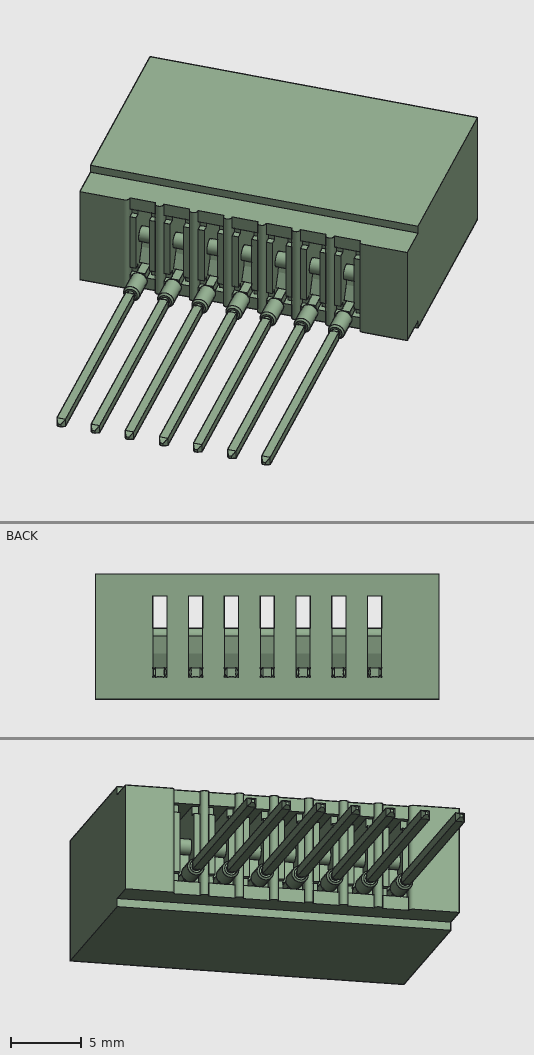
import cadquery as cq


housing_width = 24.4
housing_depth = 16.38
housing_height = 8.9
step_depth = 2.48
step_inset = 0.6

contact_count = 7
row_length = 15.25
pitch = row_length / (contact_count - 1)
contact_places = [i * pitch - row_length / 2 for i in range(contact_count)]

recess_width = 1.9
recess_depth = 0.35
rib_fillet = 0.3
slot_width = 1.0
slot_half_height = 2.87
pocket_depth = 0.5
pocket_inner = 2.2
pocket_height = slot_half_height - pocket_inner
pocket_centre = (slot_half_height + pocket_inner) / 2

overall_length = 35.45
tail_end = housing_depth - overall_length
pin_size = 0.65
pin_height = -pocket_centre
pin_top = pin_height + pin_size / 2
pin_inner_end = 1.55
tip_length = 0.43
tip_size = 0.2

neck_start = -0.07
neck_length = 0.25
collar_start = neck_start - neck_length
collar_length = 2.05
collar_radius = 0.6
collar_chamfer = 0.15
neck_end = collar_start - collar_length - neck_length

leaf_foot = 1.15
leaf_bend = (1.63, -1.2)
leaf_top = (1.9, 0.05)
leaf_thickness = 0.3
nose_radius = 0.55
nose_centre = (1.52, 0.05)


def box_between(width, y_near, y_far, z_low, z_high):
    """A box centred on X that spans the given Y and Z ranges."""
    return (
        cq.Workplane("XY")
        .box(width, y_far - y_near, z_high - z_low, centered=(True, False, False))
        .translate((0, y_near, z_low))
    )


def make_block():
    """The stepped block with a row of rounded-mouth recesses along its front."""
    half_height = housing_height / 2
    front_half_height = half_height - step_inset
    block = box_between(housing_width, step_depth, housing_depth, -half_height, half_height)
    block = block.union(
        box_between(housing_width, 0, step_depth, -front_half_height, front_half_height)
    )
    recess = box_between(recess_width, 0, recess_depth, -front_half_height, front_half_height)
    for x in contact_places:
        block = block.cut(recess.translate((x, 0, 0)))

    mouth_reach = row_length / 2 + recess_width
    mouth_zone = cq.selectors.BoxSelector(
        (-mouth_reach, -recess_depth / 2, -housing_height),
        (mouth_reach, recess_depth / 2, housing_height),
    )
    return block.edges("|Z").edges(mouth_zone).fillet(rib_fillet)


def make_cavity():
    """A through slot with a shallow wide pocket at its upper and lower ends."""
    cavity = box_between(slot_width, 0, housing_depth, -slot_half_height, slot_half_height)
    for side in (-1, 1):
        centre = side * pocket_centre
        cavity = cavity.union(
            box_between(
                recess_width,
                recess_depth,
                recess_depth + pocket_depth,
                centre - pocket_height / 2,
                centre + pocket_height / 2,
            )
        )
    return cavity


def make_housing():
    housing = make_block()
    cavity = make_cavity()
    for x in contact_places:
        housing = housing.cut(cavity.translate((x, 0, 0)))
    return housing


def round_bar(radius, y_start, length):
    """A round bar on the pin axis that runs from the given Y toward -Y."""
    return cq.Workplane("XZ", origin=(0, y_start, pin_height)).circle(radius).extrude(length)


def make_tail():
    """The square pin with its tapered tip, necks and chamfered collar."""
    shoulder = tail_end + tip_length
    pin_bottom = pin_height - pin_size / 2
    inner_pin = box_between(pin_size, neck_start, pin_inner_end, pin_bottom, pin_top)
    outer_pin = box_between(pin_size, shoulder, neck_end, pin_bottom, pin_top)
    tip = (
        cq.Workplane("XZ", origin=(0, shoulder, pin_height))
        .rect(pin_size, pin_size)
        .workplane(offset=tip_length)
        .rect(tip_size, tip_size)
        .loft()
    )
    necks = round_bar(pin_size / 2, neck_start, neck_start - neck_end)
    collar = round_bar(collar_radius, collar_start, collar_length).edges().chamfer(collar_chamfer)
    return inner_pin.union(necks).union(collar).union(outer_pin).union(tip)


def make_spring():
    """The bent leaf rising from the pin to the rolled nose, as wide as the slot."""
    bend_y, bend_z = leaf_bend
    top_y, top_z = leaf_top
    leaf = (
        cq.Workplane("YZ", origin=(-slot_width / 2, 0, 0))
        .moveTo(leaf_foot, pin_top)
        .lineTo(bend_y, bend_z)
        .lineTo(top_y, top_z)
        .lineTo(top_y + leaf_thickness, top_z)
        .lineTo(bend_y + leaf_thickness, bend_z)
        .lineTo(leaf_foot + leaf_thickness, pin_top)
        .close()
        .extrude(slot_width)
    )
    nose = (
        cq.Workplane("YZ", origin=(-slot_width / 2, 0, 0))
        .center(*nose_centre)
        .circle(nose_radius)
        .extrude(slot_width)
    )
    return leaf.union(nose)


def make_contact():
    return make_tail().union(make_spring())


housing = make_housing()
contact = make_contact()
contacts = [contact.translate((x, 0, 0)).solids().val() for x in contact_places]

result = cq.Compound.makeCompound([housing.solids().val(), *contacts])